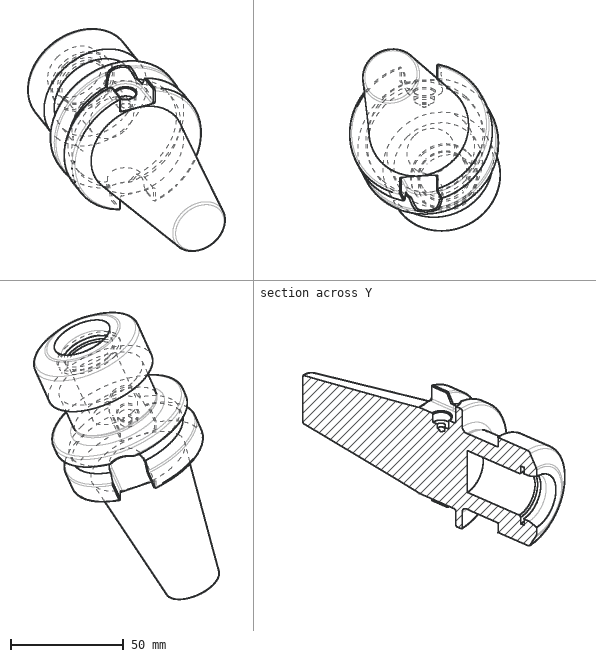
import cadquery as cq
import math


gauge_x = 70.0
taper_length = 65.4
tail_x = gauge_x + taper_length

gauge_radius = 44.45 / 2
taper_slope = 7 / 24 / 2
tail_fillet = 1.0

nut_radius = 50.0 / 2
nut_length = 22.5
nut_face_radius = 35.0 / 2
nut_cone_angle = 60.0
nut_fillet = 2.0

neck_radius = 40.0 / 2
relief_radius = 39.8 / 2
relief_start_x = 39.2
relief_ramp = 0.4
neck_fillet = 2.5

flange_radius = 63.0 / 2
flange_front_x = gauge_x - 27.0
flange_rear_x = gauge_x - 2.0
groove_radius = 53.0 / 2
groove_center_x = gauge_x - 16.6
groove_floor_width = 4.3
groove_flank_angle = 60.0
flange_fillet = 1.0

mouth_radius = 26.5 / 2
land_radius = 23.5 / 2
land_front_x = 4.5
land_rear_x = 7.5
ring_radius = 30.0 / 2
bore_face_x = 9.2
bore_radius = 21.6 / 2
bore_chamfer = 0.8
bore_depth = 40.0

slot_half_width = 16.1 / 2
slot_floor_z = 22.6
slot_center_x = 55.0
slot_floor_fillet = 0.8
slot_edge_chamfer = 0.6

pocket_center_x = 55.4
pocket_diameter = 10.0
pocket_depth = 4.6
pocket_chamfer = 0.5
drill_diameter = 4.0
drill_depth = 2.0
drill_point_angle = 118.0


def ring_edges(body, x, radius):
    """Circular edges centred on the X axis at the given x and radius."""
    tolerance = 0.01
    size = radius + tolerance
    box = cq.selectors.BoxSelector(
        (x - tolerance, -size, -size), (x + tolerance, size, size), boundingbox=True
    )
    inner = radius - tolerance
    return body.edges(box).filter(lambda edge: edge.BoundingBox().zmax > inner)


def turned_body():
    """Solid of revolution: nut, neck, grooved flange and taper."""
    nut_cone_length = (nut_radius - nut_face_radius) / math.tan(math.radians(nut_cone_angle))
    flank_length = (flange_radius - groove_radius) / math.tan(math.radians(groove_flank_angle))
    groove_front_x = groove_center_x - groove_floor_width / 2
    groove_rear_x = groove_center_x + groove_floor_width / 2
    groove_front_rim_x = groove_front_x - flank_length
    groove_rear_rim_x = groove_rear_x + flank_length
    taper_start_radius = gauge_radius + taper_slope * (gauge_x - flange_rear_x)
    tail_radius = gauge_radius - taper_slope * taper_length
    outline = [
        (0, 0),
        (0, nut_face_radius),
        (nut_cone_length, nut_radius),
        (nut_length, nut_radius),
        (nut_length, neck_radius),
        (relief_start_x, neck_radius),
        (relief_start_x + relief_ramp, relief_radius),
        (flange_front_x, relief_radius),
        (flange_front_x, flange_radius),
        (groove_front_rim_x, flange_radius),
        (groove_front_x, groove_radius),
        (groove_rear_x, groove_radius),
        (groove_rear_rim_x, flange_radius),
        (flange_rear_x, flange_radius),
        (flange_rear_x, taper_start_radius),
        (tail_x, tail_radius),
        (tail_x, 0),
    ]
    body = cq.Workplane("XY").polyline(outline).close().revolve(360, (0, 0, 0), (1, 0, 0))
    rounded_rings = [
        (0, nut_face_radius, nut_fillet),
        (nut_cone_length, nut_radius, nut_fillet),
        (flange_front_x, relief_radius, neck_fillet),
        (flange_front_x, flange_radius, flange_fillet),
        (groove_front_rim_x, flange_radius, flange_fillet),
        (groove_rear_rim_x, flange_radius, flange_fillet),
        (flange_rear_x, flange_radius, flange_fillet),
        (tail_x, tail_radius, tail_fillet),
    ]
    for x, radius, fillet in rounded_rings:
        body = ring_edges(body, x, radius).fillet(fillet)
    return body


def collet_bore():
    """Cutter for the bore: conical mouth, land, relief ring and flat-bottomed bore."""
    outline = [
        (0, 0),
        (0, mouth_radius),
        (land_front_x, land_radius),
        (land_rear_x, land_radius),
        (land_rear_x, ring_radius),
        (bore_face_x, ring_radius),
        (bore_face_x, bore_radius + bore_chamfer),
        (bore_face_x + bore_chamfer, bore_radius),
        (bore_depth, bore_radius),
        (bore_depth, 0),
    ]
    return cq.Workplane("XY").polyline(outline).close().revolve(360, (0, 0, 0), (1, 0, 0))


def drive_slot():
    """Cutter for the +Z slot: round front end, open rear."""
    height = flange_radius - slot_floor_z
    length = flange_rear_x - slot_center_x
    return (
        cq.Workplane("XY", origin=(slot_center_x, 0, slot_floor_z))
        .moveTo(length, -slot_half_width)
        .lineTo(0, -slot_half_width)
        .threePointArc((-slot_half_width, 0), (0, slot_half_width))
        .lineTo(length, slot_half_width)
        .close()
        .extrude(height)
    )


def slot_pocket():
    """Cutter for the stepped hole in the slot floor, with a drill point at its bottom."""
    pocket_radius = pocket_diameter / 2
    drill_radius = drill_diameter / 2
    point_length = drill_radius / math.tan(math.radians(drill_point_angle / 2))
    drill_bottom = -pocket_depth - drill_depth
    outline = [
        (0, 0),
        (pocket_radius, 0),
        (pocket_radius - pocket_chamfer, -pocket_chamfer),
        (pocket_radius - pocket_chamfer, -pocket_depth),
        (drill_radius, -pocket_depth),
        (drill_radius, drill_bottom),
        (0, drill_bottom - point_length),
    ]
    return (
        cq.Workplane("XZ", origin=(pocket_center_x, 0, slot_floor_z))
        .polyline(outline)
        .close()
        .revolve(360, (0, 0, 0), (0, 1, 0))
    )


def is_floor_edge(edge):
    """True for edges where a slot wall meets the slot floor."""
    tolerance = 0.01
    box = edge.BoundingBox()
    on_floor = abs(abs(box.center.z) - slot_floor_z) < tolerance and box.zlen < tolerance
    return on_floor and box.xlen > tolerance


def is_slot_rim(edge):
    """True for edges where a slot wall meets the outer cylinder of the flange."""
    tolerance = 0.01
    box = edge.BoundingBox()
    middle = edge.positionAt(0.5)
    on_rim = abs(math.hypot(middle.y, middle.z) - flange_radius) < tolerance
    beside_slot = abs(middle.y) < slot_half_width + tolerance
    return on_rim and beside_slot and box.xlen > tolerance


body = turned_body().cut(collet_bore())
slot = drive_slot()
for slot_angle in (0, 180):
    body = body.cut(slot.rotate((0, 0, 0), (1, 0, 0), slot_angle))
body = body.edges().filter(is_slot_rim).chamfer(slot_edge_chamfer)
body = body.edges().filter(is_floor_edge).fillet(slot_floor_fillet)
result = body.cut(slot_pocket())